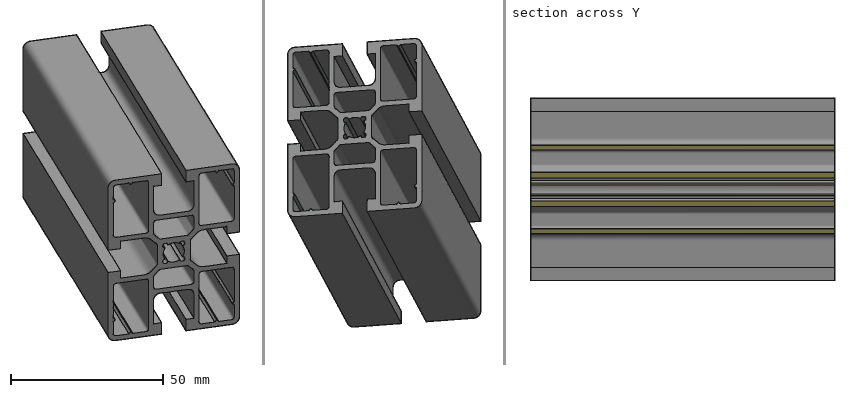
import cadquery as cq

length = 100.0
width = 45.0
height = 60.0
corner_radius = 2.5

mouth_width = 8.3
channel_width = 13.8
lip_thickness = 4.3
long_slot_depth = 15.4
long_slot_fillet = 2.2
core_size = 11.3
core_flat = 7.5
floor_fillet = 0.6
shoulder_fillet = 3.5

web = 1.7
outer_wall = 1.8
pocket_fillet = 1.0

chamber_fillet = 1.0
chamber_bevel = 2.1
bevel_fillet = 1.0

ridge_from_edge = 7.8
ridge_height = 0.7
ridge_half_width = 0.7

bore_diameter = 7.2
relief_diameter = 1.7
relief_offset = 2.9

half_length = length / 2
half_width = width / 2
half_height = height / 2
half_channel = channel_width / 2
half_core = core_size / 2
long_slot_floor = half_height - long_slot_depth


def prism(sketch):
    """Full-length solid from a closed section."""
    return sketch.extrude(length)


def section():
    return cq.Workplane("YZ", origin=(-half_length, 0, 0))


def box_section(y_low, y_high, z_low, z_high):
    center = ((y_low + y_high) / 2, (z_low + z_high) / 2)
    return prism(section().center(*center).rect(y_high - y_low, z_high - z_low))


def edges_at(solid, y, z):
    """Lengthwise edges of a solid that run through the point (y, z)."""
    tolerance = 0.01
    near = cq.selectors.BoxSelector(
        (-length, y - tolerance, z - tolerance),
        (length, y + tolerance, z + tolerance),
    )
    return solid.edges("|X").edges(near)


def top_slot():
    lip_inside = half_height - lip_thickness
    channel = box_section(-half_channel, half_channel, long_slot_floor, lip_inside)
    channel = channel.edges("|X and <Z").fillet(long_slot_fillet)
    mouth = box_section(-mouth_width / 2, mouth_width / 2, lip_inside, half_height)
    return channel.union(mouth)


def side_slot():
    """Slot in the +Y face; sloped shoulders narrow it down to the core."""
    shoulder = half_channel - core_flat / 2
    shoulder_end = half_core + shoulder
    lip_inside = half_width - lip_thickness
    channel = prism(section().polyline([
        (half_core, -core_flat / 2),
        (shoulder_end, -half_channel),
        (lip_inside, -half_channel),
        (lip_inside, half_channel),
        (shoulder_end, half_channel),
        (half_core, core_flat / 2),
    ]).close())
    for side in (-1, 1):
        channel = edges_at(channel, half_core, side * core_flat / 2).fillet(floor_fillet)
        channel = edges_at(channel, shoulder_end, side * half_channel).fillet(shoulder_fillet)
    mouth = box_section(lip_inside, half_width, -mouth_width / 2, mouth_width / 2)
    return channel.union(mouth)


def chamber():
    chamber_top = long_slot_floor - web
    bevel_inside = half_channel - chamber_bevel
    bevel_top = half_core + chamber_bevel
    cavity = prism(section().polyline([
        (-bevel_inside, half_core),
        (bevel_inside, half_core),
        (half_channel, bevel_top),
        (half_channel, chamber_top),
        (-half_channel, chamber_top),
        (-half_channel, bevel_top),
    ]).close())
    for side in (-1, 1):
        cavity = edges_at(cavity, side * bevel_inside, half_core).fillet(bevel_fillet)
        cavity = edges_at(cavity, side * half_channel, bevel_top).fillet(bevel_fillet)
        cavity = edges_at(cavity, side * half_channel, chamber_top).fillet(chamber_fillet)
    return cavity


def corner_pocket():
    """Closed pocket in the +Y +Z corner, with a ridge on each outer wall."""
    inner = half_channel + web
    y_outer = half_width - outer_wall
    z_outer = half_height - outer_wall
    pocket = box_section(inner, y_outer, inner, z_outer).edges("|X").fillet(pocket_fillet)
    ridge_y = half_width - ridge_from_edge
    ridge_z = half_height - ridge_from_edge
    top_ridge = prism(section().polyline([
        (ridge_y - ridge_half_width, z_outer),
        (ridge_y, z_outer - ridge_height),
        (ridge_y + ridge_half_width, z_outer),
    ]).close())
    side_ridge = prism(section().polyline([
        (y_outer, ridge_z - ridge_half_width),
        (y_outer - ridge_height, ridge_z),
        (y_outer, ridge_z + ridge_half_width),
    ]).close())
    return pocket.cut(top_ridge).cut(side_ridge)


def screw_channel():
    bore = prism(section().circle(bore_diameter / 2))
    reliefs = prism(section().rect(2 * relief_offset, 2 * relief_offset, forConstruction=True)
                    .vertices().circle(relief_diameter / 2))
    return bore.union(reliefs)


result = box_section(-half_width, half_width, -half_height, half_height)
result = result.edges("|X").fillet(corner_radius)
result = result.cut(screw_channel())

for cavity in (top_slot(), chamber()):
    result = result.cut(cavity).cut(cavity.mirror("XY"))

slot = side_slot()
result = result.cut(slot).cut(slot.mirror("XZ"))

pocket = corner_pocket()
for half in (pocket, pocket.mirror("XZ")):
    result = result.cut(half).cut(half.mirror("XY"))